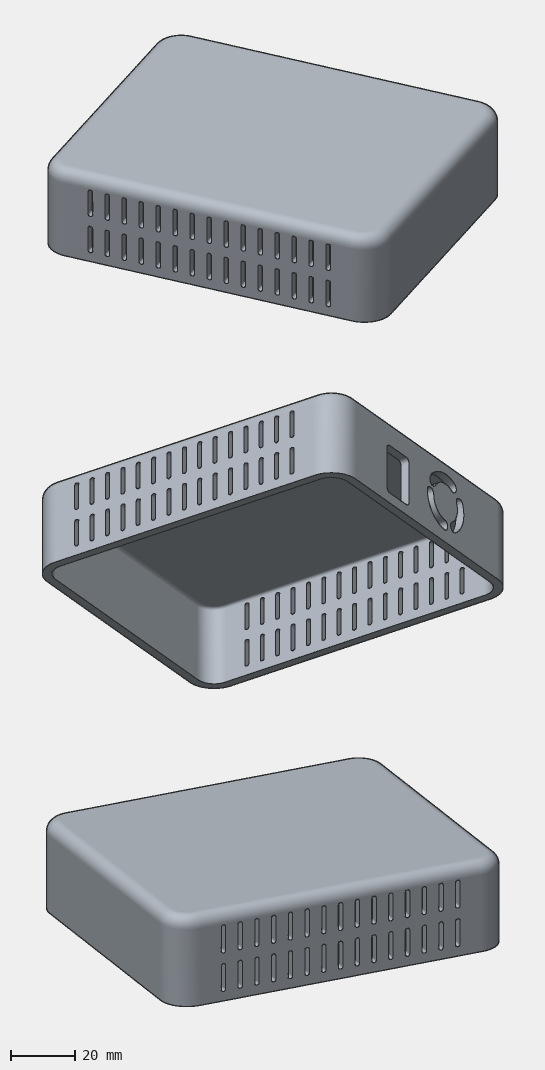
import cadquery as cq
import math

length = 116.2
width = 96.2
height = 30.0
wall = 3.0
cavity_length = length - 2 * wall
cavity_width = width - 2 * wall
corner_radius = 9.1
cavity_corner_radius = corner_radius - wall
top_edge_radius = 4.0

slot_count = 15
slot_pitch = 5.8
slot_row_centre_x = 0.22
slot_width = 1.5
slot_length = 9.4
slot_row_bottoms = (3.2, 16.2)

window_width = 12.0
window_height = 16.8
window_y = 15.75
window_z = 12.0
window_corner_radius = 1.5

ring_y = -10.3
ring_z = 14.25
ring_outer_radius = 10.0
ring_slot_width = 3.5
ring_slot_angles = ((60.0, 147.0), (181.0, 266.0), (303.0, 381.0))


def rounded_block(size_x, size_y, size_z, radius):
    block = cq.Workplane("XY").box(size_x, size_y, size_z, centered=(True, True, False))
    return block.edges("|Z").fillet(radius)


def make_shell():
    outside = rounded_block(length, width, height, corner_radius)
    outside = outside.faces(">Z").edges().fillet(top_edge_radius)
    cavity = rounded_block(cavity_length, cavity_width, height - wall, cavity_corner_radius)
    cavity = cavity.faces(">Z").edges().fillet(top_edge_radius - wall)
    return outside.cut(cavity)


def make_vent_slots():
    first_x = slot_row_centre_x - slot_pitch * (slot_count - 1) / 2
    centres = []
    for bottom in slot_row_bottoms:
        for index in range(slot_count):
            centres.append((first_x + index * slot_pitch, bottom + slot_length / 2))
    vertical = 90
    slots = cq.Workplane("XZ").pushPoints(centres).slot2D(slot_length, slot_width, vertical)
    return slots.extrude(width / 2, both=True)


def left_wall_plane(y, z):
    """Sketch plane on the outer -X face: local x points to -Y, local y to +Z, normal outward."""
    return cq.Workplane(cq.Plane(origin=(-length / 2, y, z), xDir=(0, -1, 0), normal=(-1, 0, 0)))


def make_window():
    window = left_wall_plane(window_y, window_z).rect(window_width, window_height).extrude(-wall)
    return window.edges("|X").fillet(window_corner_radius)


def polar(radius, angle):
    return (radius * math.cos(math.radians(angle)), radius * math.sin(math.radians(angle)))


def make_ring_slot(start, end):
    middle_angle = (start + end) / 2
    inner_radius = ring_outer_radius - ring_slot_width
    outline = (
        left_wall_plane(ring_y, ring_z)
        .moveTo(*polar(ring_outer_radius, start))
        .threePointArc(polar(ring_outer_radius, middle_angle), polar(ring_outer_radius, end))
        .tangentArcPoint(polar(inner_radius, end), relative=False)
        .threePointArc(polar(inner_radius, middle_angle), polar(inner_radius, start))
        .tangentArcPoint(polar(ring_outer_radius, start), relative=False)
        .close()
    )
    return outline.extrude(-wall)


result = make_shell().cut(make_vent_slots()).cut(make_window())
for start_angle, end_angle in ring_slot_angles:
    result = result.cut(make_ring_slot(start_angle, end_angle))